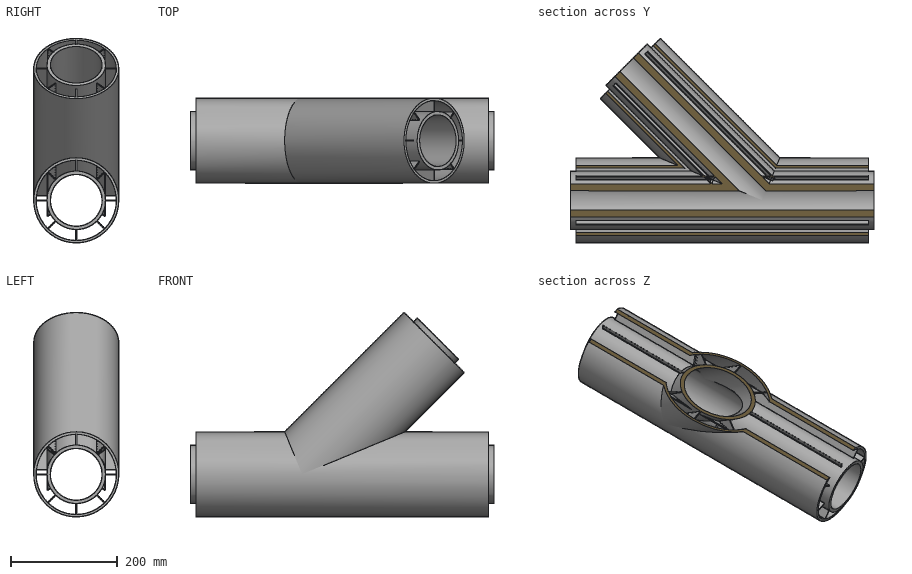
import cadquery as cq
import math

outer_diameter = 160.0
outer_wall = 4.9
inner_diameter = 110.0
bore_diameter = 96.8
inner_overhang = 10.0

run_length = 550.0
run_start = -200.0
branch_length = 350.0
branch_inner_start = 12.0
branch_angle = 45.0

rib_count = 8
rib_thickness = 2.0
rib_embed = 1.0

cavity_diameter = outer_diameter - 2 * outer_wall
run_end = run_start + run_length


def pipe_plane(tilt):
    """Plane normal to a pipe axis that rises from +X by the tilt angle in the XZ plane."""
    angle = math.radians(tilt)
    axis = (math.cos(angle), 0, math.sin(angle))
    return cq.Plane(origin=(0, 0, 0), xDir=(0, 1, 0), normal=axis)


def rod(plane, diameter, start, end):
    """Round bar along the plane normal between two stations."""
    return cq.Workplane(plane).workplane(offset=start).circle(diameter / 2).extrude(end - start)


def ribs(plane, start, end):
    """Radial ribs that hold the inner pipe in the middle of the jacket."""
    inner_radius = inner_diameter / 2 - rib_embed
    outer_radius = cavity_diameter / 2 + rib_embed
    return (
        cq.Workplane(plane)
        .workplane(offset=start)
        .polarArray((inner_radius + outer_radius) / 2, 0, 360, rib_count)
        .rect(outer_radius - inner_radius, rib_thickness)
        .extrude(end - start)
    )


run_plane = pipe_plane(0)
branch_plane = pipe_plane(branch_angle)


def both_pipes(diameter, extension, branch_start):
    """Run and branch bars of one diameter, lengthened past the jacket ends."""
    run = rod(run_plane, diameter, run_start - extension, run_end + extension)
    branch = rod(branch_plane, diameter, branch_start, branch_length + extension)
    return run.union(branch)


jacket = both_pipes(outer_diameter, 0, 0).cut(both_pipes(cavity_diameter, 0, 0))
inner_pipes = both_pipes(inner_diameter, inner_overhang, branch_inner_start)
bores = both_pipes(bore_diameter, inner_overhang, 0)

result = (
    jacket
    .union(ribs(run_plane, run_start, run_end))
    .union(ribs(branch_plane, branch_inner_start, branch_length))
    .union(inner_pipes)
    .cut(bores)
)